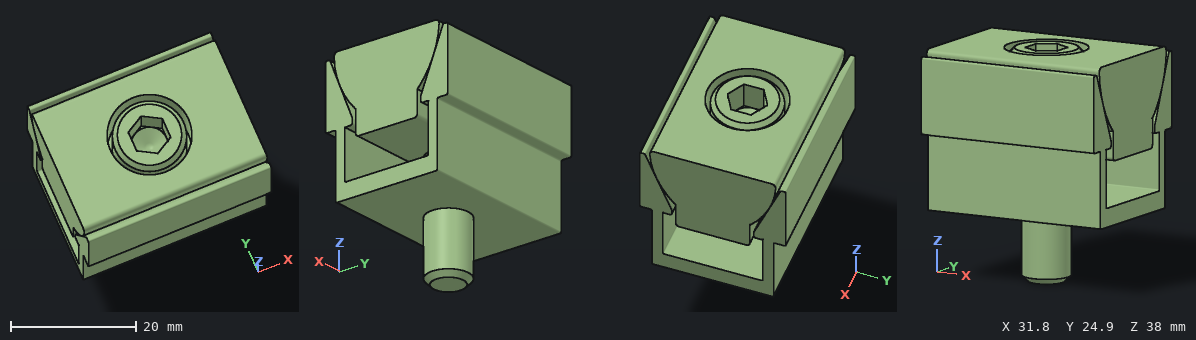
import cadquery as cq
import math

length = 31.75
top_z = 37.95

wedge_half_width = 10.75
flank_radius = 16.0
flank_center_y = wedge_half_width - flank_radius
wedge_stem_half_width = 6.3
wedge_bottom_z = 22.05
wedge_top_fillet = 0.8
wedge_bottom_fillet = 0.65

jaw_angle = math.radians(22)
jaw_outer_y = 12.45
jaw_nose_y = 6.95
jaw_top_z = 36.88
jaw_bottom_z = 24.3
jaw_tip_fillet = 0.3
jaw_nose_fillet = 0.45
wall_outer_y = 10.35
wall_inner_y = 8.5
floor_z = 14.72
base_z = 11.6
channel_fillet = 0.3

shank_diameter = 8.0
shank_radius = shank_diameter / 2
shank_chamfer = 1.02
head_radius = 5.9
head_height = shank_diameter
head_chamfer = 0.8
hex_across_flats = 5.88
hex_depth = 5.0
drill_point_angle = math.radians(118)
counterbore_radius = 6.75
head_seat_z = top_z - head_height


def flank_point(angle):
    """Point (y, z) on the wedge flank, at an angle below the top plane."""
    return (
        flank_center_y + flank_radius * math.cos(angle),
        top_z - flank_radius * math.sin(angle),
    )


def jaw_face_y(z):
    """Y of the jaw face, which is tangent to the wedge flank."""
    contact_y, contact_z = flank_point(jaw_angle)
    return contact_y + (z - contact_z) * math.tan(jaw_angle)


def jaw_face_z(y):
    """Z of the jaw face at a given Y."""
    contact_y, contact_z = flank_point(jaw_angle)
    return contact_z + (y - contact_y) / math.tan(jaw_angle)


def extrude_half(half_profile):
    """Extrude a profile of the +Y half along X and mirror it into a whole body."""
    half = half_profile.close().extrude(length / 2, both=True)
    return half.union(half.mirror("XZ")).clean()


def fillet_lengthwise(body, y, z, radius):
    """Round the edges along X at (y, z) and (-y, z)."""
    for side in (-1, 1):
        body = body.edges(cq.NearestToPointSelector((0, side * y, z))).fillet(radius)
    return body


def vertical_cylinder(radius, bottom_z, height):
    return cq.Workplane("XY").workplane(offset=bottom_z).circle(radius).extrude(height)


def make_wedge():
    end_angle = math.acos((wedge_stem_half_width - flank_center_y) / flank_radius)
    flank_end = flank_point(end_angle)
    profile = (
        cq.Workplane("YZ")
        .moveTo(0, top_z)
        .lineTo(wedge_half_width, top_z)
        .threePointArc(flank_point(end_angle / 2), flank_end)
        .lineTo(wedge_stem_half_width, wedge_bottom_z)
        .lineTo(0, wedge_bottom_z)
    )
    wedge = extrude_half(profile)
    wedge = fillet_lengthwise(wedge, wedge_half_width, top_z, wedge_top_fillet)
    wedge = fillet_lengthwise(wedge, wedge_stem_half_width, wedge_bottom_z, wedge_bottom_fillet)
    wedge = wedge.cut(vertical_cylinder(counterbore_radius, head_seat_z, head_height))
    return wedge.cut(vertical_cylinder(shank_radius, 0, top_z))


def make_channel():
    profile = (
        cq.Workplane("YZ")
        .moveTo(0, base_z)
        .lineTo(wall_outer_y, base_z)
        .lineTo(wall_outer_y, jaw_bottom_z)
        .lineTo(jaw_outer_y, jaw_bottom_z)
        .lineTo(jaw_outer_y, jaw_top_z)
        .lineTo(jaw_face_y(jaw_top_z), jaw_top_z)
        .lineTo(jaw_nose_y, jaw_face_z(jaw_nose_y))
        .lineTo(jaw_nose_y, jaw_bottom_z)
        .lineTo(wall_inner_y, jaw_bottom_z)
        .lineTo(wall_inner_y, floor_z)
        .lineTo(0, floor_z)
    )
    channel = extrude_half(profile)
    rounded_corners = [
        (wall_outer_y, base_z, channel_fillet),
        (wall_inner_y, floor_z, channel_fillet),
        (wall_outer_y, jaw_bottom_z, channel_fillet),
        (jaw_outer_y, jaw_bottom_z, channel_fillet),
        (jaw_outer_y, jaw_top_z, jaw_tip_fillet),
        (jaw_face_y(jaw_top_z), jaw_top_z, jaw_tip_fillet),
        (jaw_nose_y, jaw_face_z(jaw_nose_y), jaw_nose_fillet),
        (jaw_nose_y, jaw_bottom_z, jaw_nose_fillet),
    ]
    for y, z, radius in rounded_corners:
        channel = fillet_lengthwise(channel, y, z, radius)
    return channel.cut(vertical_cylinder(shank_radius, 0, top_z))


def make_hex_socket():
    """Hexagonal socket with corners on the Y axis and a conical bottom."""
    corner_diameter = hex_across_flats / math.cos(math.pi / 6)
    socket_bottom_z = top_z - hex_depth
    hexagon = (
        cq.Workplane("XY")
        .workplane(offset=socket_bottom_z)
        .transformed(rotate=(0, 0, 90))
        .polygon(6, corner_diameter)
        .extrude(hex_depth)
    )
    cone_radius = hex_across_flats / 2
    cone_depth = cone_radius / math.tan(drill_point_angle / 2)
    cone = (
        cq.Workplane("XZ")
        .moveTo(0, socket_bottom_z)
        .lineTo(cone_radius, socket_bottom_z)
        .lineTo(0, socket_bottom_z - cone_depth)
        .close()
        .revolve(360, (0, 0), (0, 1))
    )
    return hexagon.union(cone)


def make_screw():
    shank = vertical_cylinder(shank_radius, 0, head_seat_z).faces("<Z").chamfer(shank_chamfer)
    head = vertical_cylinder(head_radius, head_seat_z, head_height).faces(">Z").chamfer(head_chamfer)
    return shank.union(head).cut(make_hex_socket())


wedge = make_wedge()
channel = make_channel()
screw = make_screw()

result = cq.Compound.makeCompound([body.solids().val() for body in (wedge, channel, screw)])